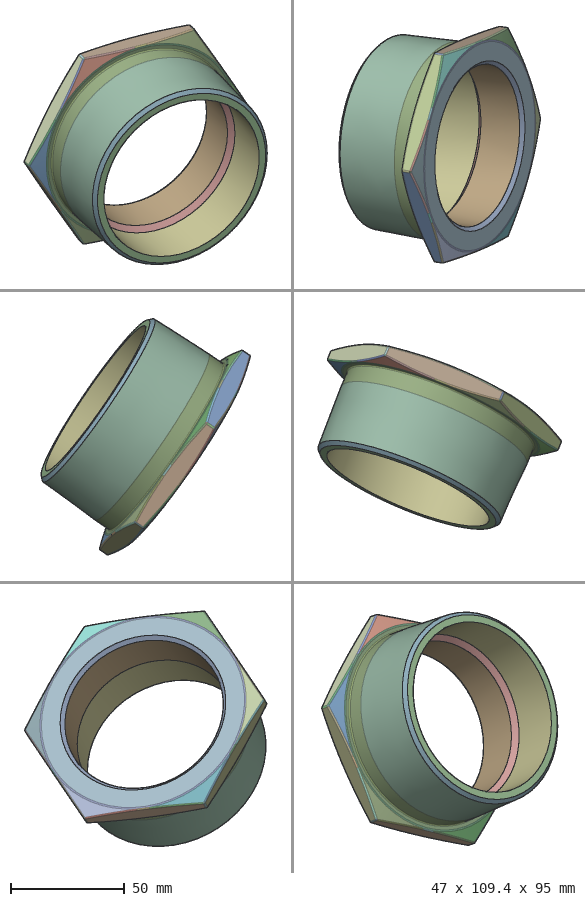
import cadquery as cq
import math

corner_span = 109.4
flange_width = 9.0
corner_round = 1.0
corner_trim = corner_round * (1 / math.cos(math.radians(30)) - 1)
sharp_corner_span = corner_span + 2 * corner_trim

bevel_angle = 15.0
bevel_start_radius = 46.7
bevel_end_radius = 65.6
bevel_depth = (bevel_end_radius - bevel_start_radius) * math.tan(math.radians(bevel_angle))
face_blend_radius = 2.8
rim_round = 0.7

total_length = 47.0
spigot_radius = 88.5 / 2
taper_start = 17.0
taper_ratio = 1 / 16
tip_chamfer = 1.6
neck_fillet = 0.5
tip_edge_x = total_length - tip_chamfer
tip_edge_radius = spigot_radius - (tip_edge_x - taper_start) * taper_ratio / 2

bore_radius = 72.2 / 2
mouth_radius = 75.6 / 2
relief_radius = 77.0 / 2
relief_start = 21.7


def revolve_about_x(profile_points):
    """Solid of revolution about X from (x, radius) points."""
    profile = cq.Workplane("XY").polyline(profile_points).close()
    return profile.revolve(360, (0, 0, 0), (1, 0, 0))


def make_flange():
    hexagon = cq.Workplane("YZ").polygon(6, sharp_corner_span).extrude(flange_width)
    hexagon = hexagon.edges("|X").fillet(corner_round)
    bevel_envelope = revolve_about_x([
        (0, 0),
        (0, bevel_start_radius),
        (bevel_depth, bevel_end_radius),
        (flange_width - bevel_depth, bevel_end_radius),
        (flange_width, bevel_start_radius),
        (flange_width, 0),
    ])
    bevel_envelope = bevel_envelope.faces("<X or >X").edges().fillet(face_blend_radius)
    flange = hexagon.intersect(bevel_envelope)
    return flange.faces("#X").edges("not(|X)").fillet(rim_round)


def make_spigot():
    """Spigot profile from the axis outwards, with a concave fillet where it leaves the flange."""
    profile = (
        cq.Workplane("XY")
        .lineTo(0, spigot_radius + neck_fillet)
        .lineTo(flange_width, spigot_radius + neck_fillet)
        .radiusArc((flange_width + neck_fillet, spigot_radius), -neck_fillet)
        .lineTo(taper_start, spigot_radius)
        .lineTo(tip_edge_x, tip_edge_radius)
        .lineTo(total_length, tip_edge_radius - tip_chamfer)
        .lineTo(total_length, 0)
        .close()
    )
    return profile.revolve(360, (0, 0, 0), (1, 0, 0))


def make_bore():
    mouth_depth = mouth_radius - bore_radius
    relief_step = relief_radius - bore_radius
    return revolve_about_x([
        (0, 0),
        (0, mouth_radius),
        (mouth_depth, bore_radius),
        (relief_start, bore_radius),
        (relief_start + relief_step, relief_radius),
        (total_length, relief_radius),
        (total_length, 0),
    ])


result = make_flange().union(make_spigot()).cut(make_bore())